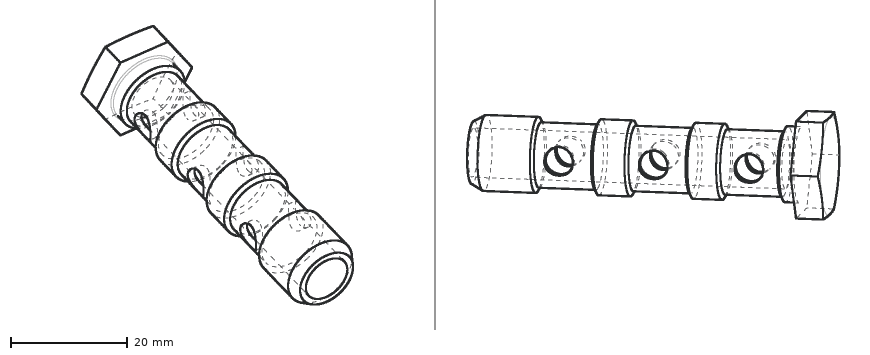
import cadquery as cq
import math

total_length = 62.5
head_across_flats = 17.0
head_length = 5.0
head_chamfer_angle = 10.0

land_diameter = 13.1
groove_diameter = 11.3
groove_spans = [(7.6, 18.1), (23.7, 34.2), (40.25, 50.75)]
shoulder_angle = 30.0
neck_fillet = 0.3
tip_chamfer_length = 2.05
tip_diameter = 10.9

bore_diameter = 8.5
bore_end = groove_spans[0][0]

cross_hole_diameter = 5.0
cross_hole_positions = [13.1, 29.9, 46.45]

land_radius = land_diameter / 2
groove_radius = groove_diameter / 2
shoulder_length = (land_radius - groove_radius) * math.tan(math.radians(shoulder_angle))
head_corner_radius = head_across_flats / math.sqrt(3)


def make_head():
    """Hexagonal head with flats facing +Z and -Z and a conical bevel on its outer face."""
    hexagon = cq.Workplane("YZ").polygon(6, 2 * head_corner_radius).extrude(head_length)
    flat_radius = head_across_flats / 2
    bevel_length = (head_corner_radius - flat_radius) * math.tan(math.radians(head_chamfer_angle))
    envelope = (
        cq.Workplane("XY")
        .polyline([
            (0, 0),
            (0, flat_radius),
            (bevel_length, head_corner_radius),
            (head_length, head_corner_radius),
            (head_length, 0),
        ])
        .close()
        .revolve(360, (0, 0), (1, 0))
    )
    return hexagon.intersect(envelope)


def make_shank():
    """Revolved shank: lands, grooves, neck fillet and bevelled tip."""
    diagonal = math.sqrt(0.5)
    neck_center = (head_length + neck_fillet, land_radius + neck_fillet)
    profile = (
        cq.Workplane("XY")
        .moveTo(0, 0)
        .lineTo(0, neck_center[1])
        .lineTo(head_length, neck_center[1])
        .threePointArc(
            (neck_center[0] - neck_fillet * diagonal, neck_center[1] - neck_fillet * diagonal),
            (neck_center[0], land_radius),
        )
    )
    for start, end in groove_spans:
        profile = (
            profile.lineTo(start, land_radius)
            .lineTo(start + shoulder_length, groove_radius)
            .lineTo(end, groove_radius)
            .lineTo(end + shoulder_length, land_radius)
        )
    return (
        profile.lineTo(total_length - tip_chamfer_length, land_radius)
        .lineTo(total_length, tip_diameter / 2)
        .lineTo(total_length, 0)
        .close()
        .revolve(360, (0, 0), (1, 0))
    )


def make_cross_holes():
    """Through holes along Y, one in each groove."""
    return (
        cq.Workplane("XZ")
        .pushPoints([(x, 0) for x in cross_hole_positions])
        .circle(cross_hole_diameter / 2)
        .extrude(land_diameter, both=True)
    )


def make_bore():
    """Axial bore from the tip to the start of the first groove."""
    return (
        cq.Workplane("YZ")
        .workplane(offset=bore_end)
        .circle(bore_diameter / 2)
        .extrude(total_length - bore_end)
    )


result = make_head().union(make_shank()).cut(make_bore()).cut(make_cross_holes())